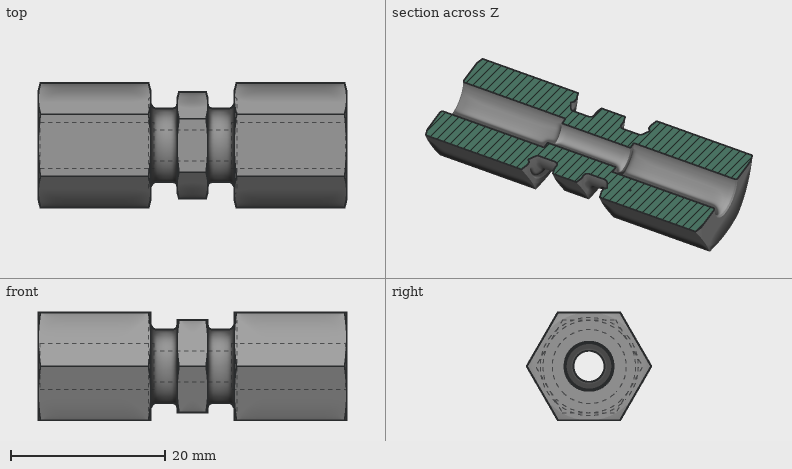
import cadquery as cq
import math

total_length = 40.0

nut_length = 14.6
nut_across_flats = 14.0
body_hex_width = 4.0
body_hex_across_flats = 12.0
corner_chamfer_angle = math.radians(15)

neck_radius = 9.6 / 2
neck_fillet = 0.5
flare_angle = math.radians(60)
relief_gap = 0.65

mouth_radius = 12.0 / 2
mouth_chamfer = 0.35

through_diameter = 4.0
tube_diameter = 6.0
tube_depth = 15.0
tube_chamfer = 0.2

half_length = total_length / 2
nut_inner_x = half_length - nut_length
body_hex_half_width = body_hex_width / 2


def chamfered_hex(start_x, length, across_flats):
    """Hexagonal prism along X whose corners are turned down at both ends."""
    flat_radius = across_flats / 2
    corner_radius = flat_radius / math.cos(math.pi / 6)
    chamfer_length = (corner_radius - flat_radius) * math.tan(corner_chamfer_angle)
    end_x = start_x + length
    prism = (
        cq.Workplane("YZ", origin=(start_x, 0, 0))
        .polygon(6, 2 * corner_radius)
        .extrude(length)
    )
    turned_envelope = (
        cq.Workplane("XY")
        .moveTo(start_x, 0)
        .lineTo(start_x, flat_radius)
        .lineTo(start_x + chamfer_length, corner_radius)
        .lineTo(end_x - chamfer_length, corner_radius)
        .lineTo(end_x, flat_radius)
        .lineTo(end_x, 0)
        .close()
        .revolve(360, (0, 0, 0), (1, 0, 0))
    )
    return prism.intersect(turned_envelope)


def countersink(face_x, hole_radius, depth):
    """45 degree cone cutter, narrowing along +X from face_x, or along -X for a negative depth."""
    return (
        cq.Workplane("YZ", origin=(face_x, 0, 0))
        .circle(hole_radius + abs(depth))
        .workplane(offset=depth)
        .circle(hole_radius)
        .loft()
    )


def neck():
    """Neck on the +X side, filleted to the body hexagon and flaring steeply into the nut."""
    relief_x = nut_inner_x - relief_gap
    arc_mid_run = neck_fillet * math.sin(flare_angle / 2)
    arc_mid_rise = neck_fillet * (1 - math.cos(flare_angle / 2))
    cone_x = relief_x + neck_fillet * math.sin(flare_angle)
    cone_radius = neck_radius + neck_fillet * (1 - math.cos(flare_angle))
    cone_end_x = cone_x + (mouth_radius - cone_radius) / math.tan(flare_angle)
    return (
        cq.Workplane("XY")
        .lineTo(0, neck_radius + neck_fillet)
        .lineTo(body_hex_half_width, neck_radius + neck_fillet)
        .radiusArc((body_hex_half_width + neck_fillet, neck_radius), -neck_fillet)
        .lineTo(relief_x, neck_radius)
        .threePointArc((relief_x + arc_mid_run, neck_radius + arc_mid_rise), (cone_x, cone_radius))
        .lineTo(cone_end_x, mouth_radius)
        .lineTo(half_length, mouth_radius)
        .lineTo(half_length, 0)
        .close()
        .revolve(360, (0, 0, 0), (1, 0, 0))
    )


def nut():
    """Union nut on the +X side, bored out to receive the flared end of the neck."""
    blank = chamfered_hex(nut_inner_x, nut_length, nut_across_flats)
    mouth = cq.Workplane("YZ", origin=(nut_inner_x, 0, 0)).circle(mouth_radius).extrude(nut_length)
    entrance = countersink(nut_inner_x, mouth_radius, mouth_chamfer)
    return blank.cut(mouth).cut(entrance)


def tube_socket():
    """Cutter for the +X tube socket, including the chamfer at its entrance."""
    socket = cq.Workplane("YZ", origin=(half_length, 0, 0)).circle(tube_diameter / 2).extrude(-tube_depth)
    entrance = countersink(half_length, tube_diameter / 2, -tube_chamfer)
    return socket.union(entrance)


def both_ends(shape):
    """The +X shape together with its mirror image on the -X side."""
    return shape.union(shape.mirror("YZ"))


body_hex = chamfered_hex(-body_hex_half_width, body_hex_width, body_hex_across_flats)
through_bore = cq.Workplane("YZ").circle(through_diameter / 2).extrude(half_length, both=True)

result = (
    body_hex
    .union(both_ends(neck().union(nut())))
    .cut(both_ends(tube_socket()))
    .cut(through_bore)
)